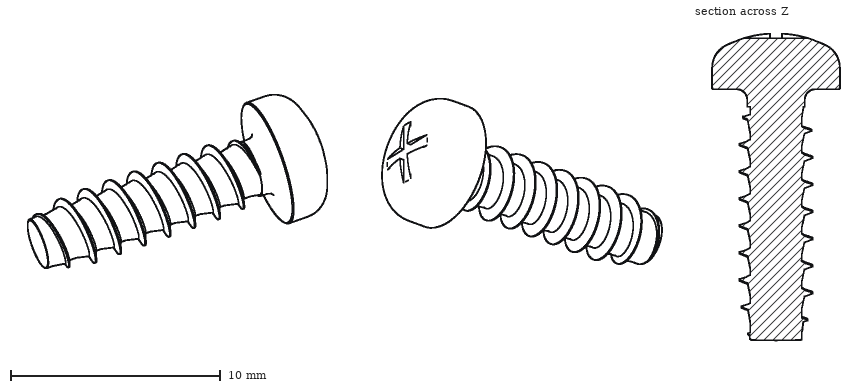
import cadquery as cq
import math


head_diameter = 6.1
head_radius = head_diameter / 2
head_height = 2.68
dome_radius = 5.27
dome_edge_radius = 2.39
rim_chamfer = 0.06

slot_width = 0.57
slot_depth = 0.23

neck_radius = 1.38
neck_fillet = 0.5
neck_end = 0.83
core_radius = 1.23
shank_length = 11.98
tip_cone_height = 0.03
tip_chamfer_width = 0.05
tip_chamfer_height = 0.022

tip_stock = 0.3
untrimmed_length = shank_length + tip_stock
trim_radius = 2.2
trim_depth = 2.93
trim_bottom = -shank_length - trim_depth

full_turns = 7
full_travel = 9.03
pitch = full_travel / full_turns
first_crest = 0.67
crest_radius = 1.75
crest_half_width = 0.03
kink_radius = 1.42
kink_offset = -0.13
root_start = -0.25
shoulder_radius = 1.36
shoulder_offset = 0.18
root_end = 0.86
root_bury = 0.01
root_overlap = 0.09
points_per_turn = 24

hidden_crest = 1.36
hidden_shoulder = 1.32
run_in_crest = 1.5
stage_turns = [-0.6, 0.1, 0.16, 1.25, 7.2, 8.85]
stage_crests = [hidden_crest, hidden_crest, run_in_crest, crest_radius, crest_radius, core_radius]
stage_shoulders = [hidden_shoulder, hidden_shoulder] + 3 * [shoulder_radius] + [core_radius]


def make_head_and_shank():
    """Revolve the domed head, filleted neck and plain core."""
    dome_centre_y = head_height - dome_radius
    edge_angle = math.asin(dome_edge_radius / dome_radius)
    crown_edge_y = dome_centre_y + dome_radius * math.cos(edge_angle)
    crown_mid_radius = dome_radius * math.sin(edge_angle / 2)
    crown_mid_y = dome_centre_y + dome_radius * math.cos(edge_angle / 2)
    shoulder_arc_radius = (head_radius - dome_edge_radius) / (1 - math.sin(edge_angle))
    wall_top = crown_edge_y - shoulder_arc_radius * math.cos(edge_angle)
    outline = (
        cq.Workplane("ZY")
        .moveTo(0, head_height)
        .threePointArc((crown_mid_radius, crown_mid_y), (dome_edge_radius, crown_edge_y))
        .tangentArcPoint((head_radius, wall_top), relative=False)
        .lineTo(head_radius, rim_chamfer)
        .lineTo(head_radius - rim_chamfer, 0)
        .lineTo(neck_radius + neck_fillet, 0)
        .radiusArc((neck_radius, -neck_fillet), -neck_fillet)
        .lineTo(neck_radius, -neck_end)
        .lineTo(core_radius, -neck_end)
        .lineTo(core_radius, -untrimmed_length)
        .lineTo(0, -untrimmed_length)
        .close()
    )
    return outline.revolve(360, (0, 0, 0), (0, 1, 0))


def ridge_section(crest, shoulder):
    """Corners (axial offset, radius) of the ridge for a crest radius and a shoulder radius.

    A lower crest sinks both flanks into the core without changing their slopes.
    """
    drop = crest_radius - crest
    taper = (shoulder - core_radius) / (root_end - shoulder_offset)
    flank = (shoulder_offset - crest_half_width) / (crest_radius - shoulder_radius)
    meeting_rise = crest - shoulder - taper * shoulder_offset
    meeting_offset = (crest_half_width + flank * meeting_rise) / (1 - flank * taper)
    meeting_radius = shoulder + taper * (shoulder_offset - meeting_offset)
    buried = core_radius - root_bury
    sunk = core_radius - root_overlap
    return [
        (root_start, sunk - drop),
        (root_start, buried - drop),
        (kink_offset, kink_radius - drop),
        (-crest_half_width, crest),
        (crest_half_width, crest),
        (meeting_offset, meeting_radius),
        (root_end, buried),
        (root_end, sunk),
    ]


def ridge_corners(turn, crest, shoulder):
    """Ridge section placed on the right-hand helix after a number of turns."""
    angle = 2 * math.pi * turn
    crest_depth = first_crest + pitch * turn
    return [
        cq.Vector(radius * math.cos(angle), -crest_depth - offset, radius * math.sin(angle))
        for offset, radius in ridge_section(crest, shoulder)
    ]


def between(ends, share):
    """Value a given share of the way from the first end to the second."""
    return ends[0] + (ends[1] - ends[0]) * share


def ridge_stage(turns, crests, shoulders):
    """Side faces and end sections of the ridge over a run of turns, changing evenly along it."""
    steps = math.ceil((turns[1] - turns[0]) * points_per_turn)
    sections = []
    for step in range(steps + 1):
        share = step / steps
        corners = ridge_corners(between(turns, share), between(crests, share), between(shoulders, share))
        sections.append(corners)
    edges = [cq.Edge.makeSpline(list(path)) for path in zip(*sections)]
    faces = [
        cq.Face.makeRuledSurface(edge, neighbour)
        for edge, neighbour in zip(edges, edges[1:] + edges[:1])
    ]
    return faces, sections[0], sections[-1]


def make_thread():
    """Join the ridge stages end to end and close them into one solid."""
    faces = []
    ends = []
    for i in range(len(stage_turns) - 1):
        span = slice(i, i + 2)
        sides, first, last = ridge_stage(stage_turns[span], stage_crests[span], stage_shoulders[span])
        faces += sides
        ends += [first, last]
    for end in (ends[0], ends[-1]):
        faces.append(cq.Face.makeFromWires(cq.Wire.makePolygon(end, close=True)))
    return cq.Workplane(cq.Solid.makeSolid(cq.Shell.makeShell(faces)))


def trim_tip(body):
    """Cut shank and thread back to the shallow cone and chamfer that end the screw."""
    cone_rim_radius = core_radius - tip_chamfer_width
    cone_rim_y = tip_cone_height - shank_length
    chamfer_slope = tip_chamfer_height / tip_chamfer_width
    trim_rim_y = cone_rim_y + chamfer_slope * (trim_radius - cone_rim_radius)
    trim = (
        cq.Workplane("ZY")
        .moveTo(0, -shank_length)
        .lineTo(cone_rim_radius, cone_rim_y)
        .lineTo(trim_radius, trim_rim_y)
        .lineTo(trim_radius, trim_bottom)
        .lineTo(0, trim_bottom)
        .close()
        .revolve(360, (0, 0, 0), (0, 1, 0))
    )
    return body.cut(trim)


def cut_cross_recess(body):
    """Cut two crossing slots of equal depth through the crown."""
    for slot_size in ((slot_width, 2 * head_radius), (2 * head_radius, slot_width)):
        slot = cq.Workplane("XZ", origin=(0, head_height, 0)).rect(*slot_size).extrude(slot_depth)
        body = body.cut(slot)
    return body


screw = cut_cross_recess(make_head_and_shank()).union(make_thread(), clean=False)
result = trim_tip(screw)